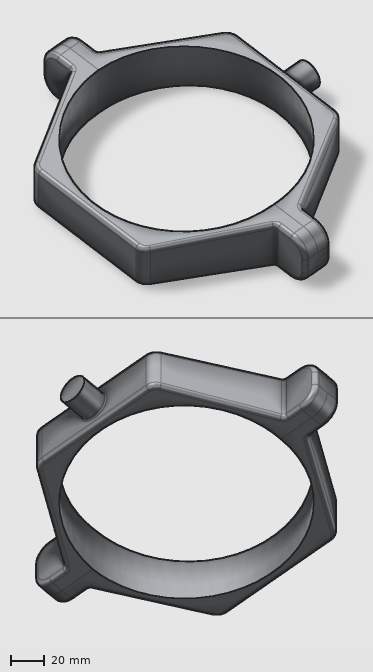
import cadquery as cq
import math

length = 228.5
ridge_height = 37.5
flat_height = 32.5
total_depth = 183.8

across_flats = 164.8
bore_radius = 76.4
corner_radius = 9.1
edge_radius = 3.2

tab_width = 21.5
tab_end_radius = 12.8
tab_root_radius = 3.0

boss_radius = 9.5
boss_root_radius = 1.0

apothem = across_flats / 2
hex_circumdiameter = across_flats / math.cos(math.pi / 6)
tab_root_x = hex_circumdiameter / 2 - tab_width / 2 * math.tan(math.pi / 6)
boss_tip_y = total_depth - apothem


def vertical_edges_near(x, y):
    """Select vertical edges at the four mirrored positions (+-x, +-y)."""
    reach = 0.2
    selector = None
    for sx in (-1, 1):
        for sy in (-1, 1):
            box = cq.selectors.BoxSelector(
                (sx * x - reach, sy * y - reach, -reach),
                (sx * x + reach, sy * y + reach, reach),
            )
            selector = box if selector is None else selector + box
    return selector


def make_outline_prism():
    """Hexagon with a tab on each X corner, its upright corners rounded."""
    hexagon = cq.Workplane("XY").polygon(6, hex_circumdiameter).extrude(ridge_height / 2, both=True)
    tabs = cq.Workplane("XY").box(length, tab_width, ridge_height)
    prism = hexagon.union(tabs)
    hex_corner_x = hex_circumdiameter / 4
    prism = prism.edges(vertical_edges_near(hex_corner_x, apothem)).fillet(corner_radius)
    return prism.edges(vertical_edges_near(tab_root_x, tab_width / 2)).fillet(tab_root_radius)


def make_pitched_envelope():
    """Bar along X whose top and bottom slope away from a central ridge."""
    profile = [
        (-apothem, -flat_height / 2),
        (0, -ridge_height / 2),
        (apothem, -flat_height / 2),
        (apothem, flat_height / 2),
        (0, ridge_height / 2),
        (-apothem, flat_height / 2),
    ]
    return cq.Workplane("YZ").polyline(profile).close().extrude(length / 2, both=True)


def make_boss():
    """Round boss, started inside the ring wall so that it joins fully."""
    wall_middle_y = (bore_radius + apothem) / 2
    return (
        cq.Workplane("XZ", origin=(0, wall_middle_y, 0))
        .circle(boss_radius)
        .extrude(wall_middle_y - boss_tip_y)
    )


body = make_outline_prism().intersect(make_pitched_envelope())

body = body.faces("<X or >X").edges("not |Z").fillet(tab_end_radius)
body = body.faces("<Y or >Y").edges("|X").fillet(edge_radius)

bore = cq.Workplane("XY").circle(bore_radius).extrude(ridge_height, both=True)
ring = body.cut(bore).union(make_boss())

boss_root = cq.selectors.BoxSelector(
    (-boss_radius, apothem - boss_root_radius, -boss_radius),
    (boss_radius, apothem + boss_root_radius, boss_radius),
)
result = ring.edges(boss_root).edges("%CIRCLE").fillet(boss_root_radius)